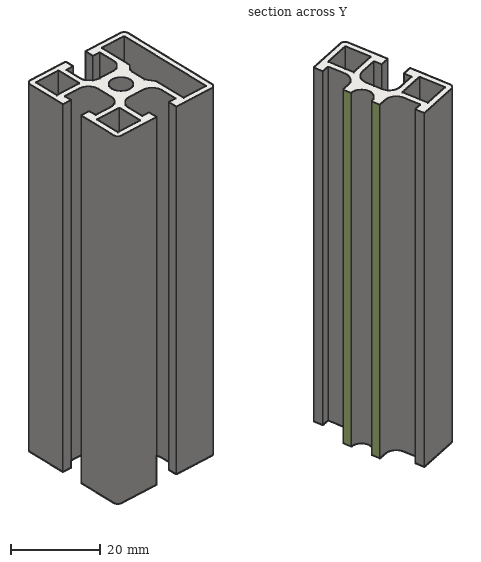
import cadquery as cq

side = 30.0
length = 100.0
wall = 1.5
corner_radius = 1.2
bore_diameter = 5.5

slot_opening = 6.0
slot_width = 10.2
slot_floor = 5.0
slot_radius = 3.0
lip_thickness = 2.5

chamber_inner = 6.6
recess_floor = 5.2
recess_floor_width = 4.2
recess_mouth_width = 8.4
recess_radius = 4.0

half = side / 2
chamber_outer = half - wall
chamber_size = chamber_outer - chamber_inner
chamber_center = (chamber_outer + chamber_inner) / 2


def block(width, depth, x=0, y=0):
    """Full-length rectangular prism centred at x, y."""
    return cq.Workplane("XY").center(x, y).rect(width, depth).extrude(length)


def t_slot(angle):
    """Slot cutter opening towards -Y, turned about the profile axis."""
    slot_depth = half - lip_thickness - slot_floor
    slot_center = -(slot_floor + slot_depth / 2)
    cavity = block(slot_width, slot_depth, 0, slot_center)
    cavity = cavity.edges("|Z and >Y").fillet(slot_radius)
    neck_depth = half - slot_floor - slot_radius
    neck = block(slot_opening, neck_depth, 0, neck_depth / 2 - half)
    return cavity.union(neck).rotate((0, 0, 0), (0, 0, 1), angle)


def wide_chamber():
    """Chamber along the closed +Y side, with a curved recess over the core."""
    chamber = block(2 * chamber_outer, chamber_size, 0, chamber_center)
    mouth = recess_mouth_width / 2
    floor = recess_floor_width / 2
    recess = (
        cq.Workplane("XY")
        .moveTo(-mouth, chamber_center)
        .lineTo(-mouth, chamber_inner)
        .radiusArc((-floor, recess_floor), -recess_radius)
        .lineTo(floor, recess_floor)
        .radiusArc((mouth, chamber_inner), -recess_radius)
        .lineTo(mouth, chamber_center)
        .close()
        .extrude(length)
    )
    return chamber.union(recess)


result = block(side, side).edges("|Z").fillet(corner_radius)
result = result.cut(cq.Workplane("XY").circle(bore_diameter / 2).extrude(length))

for slot_angle in (0, 90, -90):
    result = result.cut(t_slot(slot_angle))

result = result.cut(wide_chamber())
for x_sign in (-1, 1):
    corner_chamber = block(chamber_size, chamber_size, x_sign * chamber_center, -chamber_center)
    result = result.cut(corner_chamber)